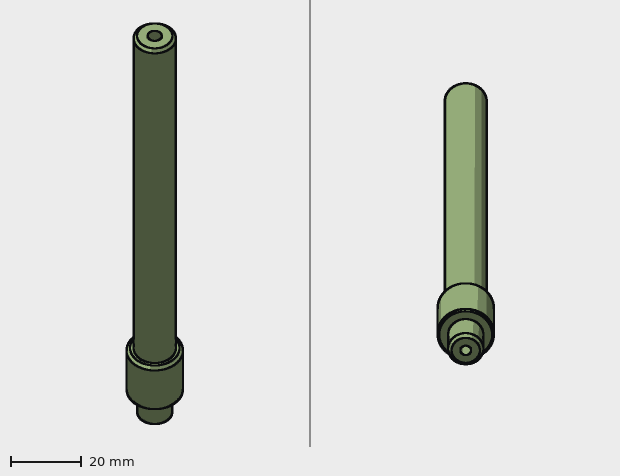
import cadquery as cq

total_length = 151.5
spigot_length = 9.5
collar_length = 17.0
shaft_length = total_length - spigot_length - collar_length

spigot_diameter = 10.0
collar_diameter = 16.0
shaft_diameter = 12.0
shaft_bore_diameter = 4.0
through_bore_diameter = 3.0

end_chamfer = 1.0
collar_top_chamfer = 1.0
collar_bottom_chamfer = 0.5


def cylinder(diameter, length, base_z):
    """Solid cylinder on the Z axis, rising from base_z."""
    return cq.Workplane("XY").workplane(offset=base_z).circle(diameter / 2).extrude(length)


def make_spigot():
    """Short locating spigot with a chamfered lower end."""
    return cylinder(spigot_diameter, spigot_length, 0).faces("<Z").chamfer(end_chamfer)


def make_collar():
    """Widest section, with a larger chamfer on top than underneath."""
    collar = cylinder(collar_diameter, collar_length, spigot_length)
    collar = collar.faces(">Z").chamfer(collar_top_chamfer)
    return collar.faces("<Z").chamfer(collar_bottom_chamfer)


def make_shaft():
    """Long shaft with a chamfered upper end."""
    shaft = cylinder(shaft_diameter, shaft_length, spigot_length + collar_length)
    return shaft.faces(">Z").chamfer(end_chamfer)


def make_bore():
    """Stepped bore: wide through the shaft, narrower through the collar and spigot."""
    through_bore = cylinder(through_bore_diameter, total_length, 0)
    shaft_bore = cylinder(shaft_bore_diameter, shaft_length, spigot_length + collar_length)
    return through_bore.union(shaft_bore)


result = make_spigot().union(make_collar()).union(make_shaft()).cut(make_bore())